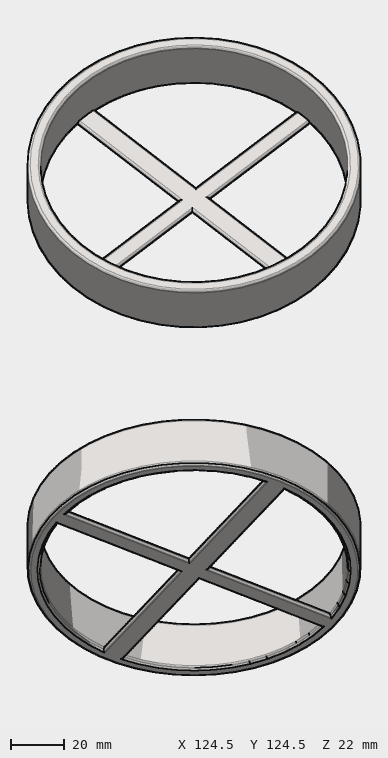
import cadquery as cq

outer_diameter = 124.5
inner_diameter = 114.5
height = 22.0

wall_bottom = 0.5
wall_fillet = 1.0

base_thickness = 2.0
base_fillet = 0.9
hoop_inset = 0.4
x_spoke_width = 8.8
y_spoke_width = 7.0

outer_radius = outer_diameter / 2
inner_radius = inner_diameter / 2
spoke_length = outer_radius + inner_radius


def make_wall():
    """Tall tube with all four rim edges rounded."""
    tube = (
        cq.Workplane("XY")
        .workplane(offset=wall_bottom)
        .circle(outer_radius)
        .circle(inner_radius)
        .extrude(height - wall_bottom)
    )
    return tube.edges("%CIRCLE").fillet(wall_fillet)


def make_hoop():
    """Flat hoop under the wall with rounded edges."""
    hoop = (
        cq.Workplane("XY")
        .circle(outer_radius - hoop_inset)
        .circle(inner_radius + hoop_inset)
        .extrude(base_thickness)
    )
    return hoop.edges("%CIRCLE").fillet(base_fillet)


def make_spoke(length_x, length_y, long_edges):
    """Bar through the centre with its long edges rounded."""
    bar = cq.Workplane("XY").box(length_x, length_y, base_thickness, centered=(True, True, False))
    return bar.edges(long_edges).fillet(base_fillet)


x_spoke = make_spoke(spoke_length, x_spoke_width, "|X")
y_spoke = make_spoke(y_spoke_width, spoke_length, "|Y")
result = make_wall().union(make_hoop()).union(x_spoke.union(y_spoke))